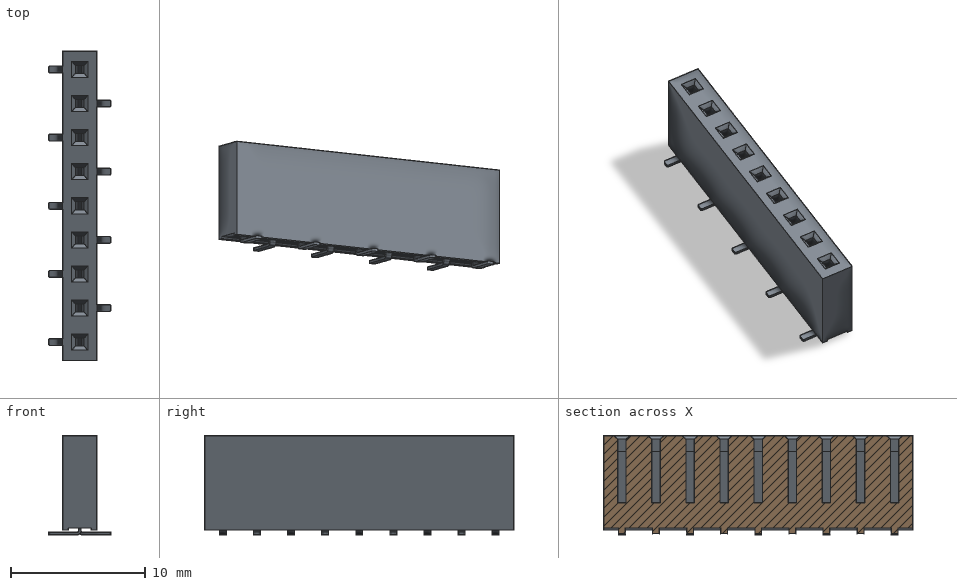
import cadquery as cq

pin_count = 9
pitch = 2.54
overall_height = 7.4
lead_span = 4.64

body_width = 2.54
body_end_margin = 0.1
body_length = pin_count * pitch + 2 * body_end_margin
standoff = 0.35
foot_width = 0.42
channel_depth = 0.15

mouth_size = 1.2
bore_width = 0.66
bore_length = 0.6
lead_in_depth = (mouth_size - bore_width) / 2
blade_depth = 1.2
blade_gap = 0.24
bore_depth = 5.0

lead_thickness = 0.2
lead_width = 0.52
bend_radius = 0.3
tip_radius = 0.12
stem_overlap = 0.3

channel_top = standoff + channel_depth


def pin_positions():
    first = -(pin_count - 1) * pitch / 2
    return [first + i * pitch for i in range(pin_count)]


def make_housing():
    """Rectangular block with a channel along its underside that leaves two feet."""
    body = cq.Workplane("XY").workplane(offset=standoff).rect(body_width, body_length)
    body = body.extrude(overall_height - standoff)
    channel = cq.Workplane("XY").workplane(offset=standoff)
    channel = channel.rect(body_width - 2 * foot_width, body_length).extrude(channel_depth)
    return body.cut(channel)


def make_socket(y):
    """Tapered mouth over a bore whose lower part narrows to the gap between two contact blades."""
    mouth = (
        cq.Workplane("XY", origin=(0, y, overall_height))
        .rect(mouth_size, mouth_size)
        .workplane(offset=-lead_in_depth)
        .rect(bore_width, bore_length)
        .loft(ruled=True)
    )
    bore = cq.Workplane("XY", origin=(0, y, overall_height)).rect(bore_width, bore_length)
    bore = bore.extrude(-blade_depth)
    gap = cq.Workplane("XY", origin=(0, y, overall_height)).rect(blade_gap, bore_length)
    gap = gap.extrude(-bore_depth)
    return mouth.union(bore).union(gap)


def make_lead(y, side):
    """L-shaped lead: stem in the housing, rounded bend, foot reaching out to X = side * lead_span / 2."""
    half = lead_thickness / 2
    tip_x = lead_span / 2
    stem_top = channel_top + stem_overlap
    bend_x = bend_radius - half
    inner_radius = bend_radius - lead_thickness
    lead = (
        cq.Workplane("XZ")
        .moveTo(-half, stem_top)
        .lineTo(-half, bend_radius)
        .radiusArc((bend_x, 0), -bend_radius)
        .lineTo(tip_x, 0)
        .lineTo(tip_x, lead_thickness)
        .lineTo(bend_x, lead_thickness)
        .radiusArc((half, bend_radius), inner_radius)
        .lineTo(half, stem_top)
        .close()
        .extrude(lead_width / 2, both=True)
        .edges("|Z and >X")
        .fillet(tip_radius)
    )
    if side < 0:
        lead = lead.mirror("YZ")
    return lead.translate((0, y, 0))


result = make_housing()
for index, pin_y in enumerate(pin_positions()):
    lead_side = -1 if index % 2 == 0 else 1
    result = result.cut(make_socket(pin_y)).union(make_lead(pin_y, lead_side))